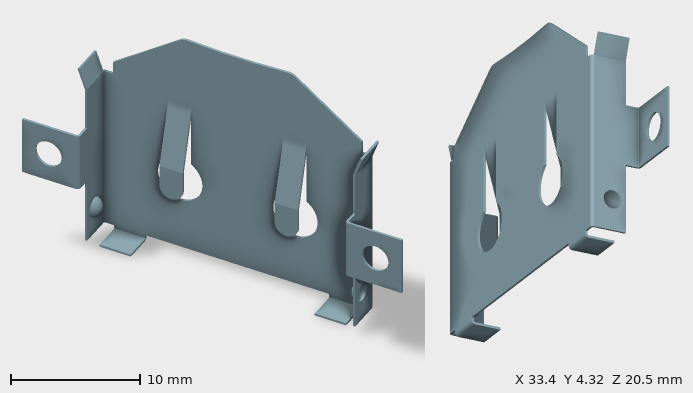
import cadquery as cq
import math

sheet = 0.2
bend_outer = 0.3
bend_inner = bend_outer - sheet

total_width = 33.4
total_depth = 4.32
total_height = 20.5

channel_half = 11.9
wall_inner_x = channel_half - sheet
wall_depth = 3.0
channel_bottom = 0.55
channel_top = 15.05

panel_half = 10.95
panel_shoulder_z = 16.12
panel_corner_x = 4.75
panel_corner_trim = 0.022
panel_corner_z = total_height + panel_corner_trim
panel_corner_radius = 1.0
panel_top_dip = 0.17

flare_angle = math.radians(20)
flare_length = 1.9
flare_start = bend_outer

tab_height = 5.05
tab_center_z = 8.8
tab_hole_x = 14.38
tab_hole_diameter = 2.3

foot_width = 2.75
foot_center_x = 9.47
foot_depth = 2.55

spring_x = 5.07
spring_width = 2.04
spring_root_z = 14.24
spring_knee_z = 8.75
spring_tip_z = 5.97
spring_tip_radius = 1.01
spring_reach = 1.6
spring_bend_radius = 2.2
relief_hole_z = 7.0
relief_hole_diameter = 4.0

dimple_radius = 0.85
dimple_hollow_radius = 0.77
dimple_y = -1.84
dimple_z = 3.13


def mirrored_pair(left):
    """Return a left-hand feature together with its right-hand copy."""
    return left.union(left.mirror("YZ"))


def angle_sheet(corner, leg_dir, normal, leg, flange, span):
    """Folded strip; the flange runs along normal x leg_dir, the span along normal."""
    profile = cq.Workplane(cq.Plane(origin=corner, xDir=leg_dir, normal=normal))
    middle = math.sqrt(0.5)
    outer_mid = bend_outer * (1 - middle)
    inner_mid = bend_outer - bend_inner * middle
    return (
        profile.moveTo(leg, 0)
        .lineTo(bend_outer, 0)
        .threePointArc((outer_mid, outer_mid), (0, bend_outer))
        .lineTo(0, flange)
        .lineTo(sheet, flange)
        .lineTo(sheet, bend_outer)
        .threePointArc((inner_mid, inner_mid), (bend_outer, sheet))
        .lineTo(leg, sheet)
        .close()
        .extrude(span)
    )


def back_plate():
    edge = channel_half - bend_outer
    plate = (
        cq.Workplane("XZ")
        .moveTo(-edge, channel_bottom)
        .lineTo(edge, channel_bottom)
        .lineTo(edge, channel_top)
        .lineTo(panel_half, channel_top)
        .lineTo(panel_half, panel_shoulder_z)
        .lineTo(panel_corner_x, panel_corner_z)
        .threePointArc((0, panel_corner_z - panel_top_dip), (-panel_corner_x, panel_corner_z))
        .lineTo(-panel_half, panel_shoulder_z)
        .lineTo(-panel_half, channel_top)
        .lineTo(-edge, channel_top)
        .close()
        .extrude(sheet)
    )
    corner_size = panel_corner_radius / 2
    for side in (-1, 1):
        corner = cq.selectors.BoxSelector(
            (side * panel_corner_x - corner_size, -total_depth, panel_corner_z - corner_size),
            (side * panel_corner_x + corner_size, total_depth, panel_corner_z + corner_size),
        )
        plate = plate.edges("|Y").edges(corner).fillet(panel_corner_radius)
    return plate


def side_wall():
    return angle_sheet(
        (-channel_half, 0, channel_top), (1, 0, 0), (0, 0, -1),
        channel_half - panel_half, wall_depth, channel_top - channel_bottom,
    )


def flare():
    along_x = -math.sin(flare_angle)
    along_z = math.cos(flare_angle)
    tip_x = -wall_inner_x + flare_length * along_x
    tip_z = channel_top + flare_length * along_z
    miter_drop = sheet * math.tan(flare_angle / 2)
    return (
        cq.Workplane("XZ", origin=(0, -flare_start, 0))
        .moveTo(-wall_inner_x, channel_top)
        .lineTo(tip_x, tip_z)
        .lineTo(tip_x - sheet * along_z, tip_z + sheet * along_x)
        .lineTo(-channel_half, channel_top - miter_drop)
        .close()
        .extrude(wall_depth - flare_start)
    )


def solder_tab():
    tab = angle_sheet(
        (-wall_inner_x, -total_depth, tab_center_z + tab_height / 2), (-1, 0, 0), (0, 0, -1),
        total_width / 2 - wall_inner_x, total_depth - bend_outer, tab_height,
    )
    hole = (
        cq.Workplane("XZ")
        .center(-tab_hole_x, tab_center_z)
        .circle(tab_hole_diameter / 2)
        .extrude(total_depth)
    )
    return tab.cut(hole)


def foot():
    return angle_sheet(
        (-foot_center_x + foot_width / 2, 0, 0), (0, -1, 0), (-1, 0, 0),
        foot_depth, channel_bottom, foot_width,
    )


def spring_opening():
    slot_height = spring_root_z - relief_hole_z
    slot = (
        cq.Workplane("XZ")
        .center(-spring_x, relief_hole_z + slot_height / 2)
        .rect(spring_width, slot_height)
        .extrude(sheet)
    )
    relief = (
        cq.Workplane("XZ")
        .center(-spring_x, relief_hole_z)
        .circle(relief_hole_diameter / 2)
        .extrude(sheet)
    )
    return slot.union(relief)


def spring():
    """Arm bent out of the plate, sloping to a knee and ending in a flat rounded tip."""
    knee_y = -(spring_reach - sheet)
    drop = spring_root_z - spring_knee_z
    center_to_knee = math.hypot(drop, spring_bend_radius + knee_y)
    knee_angle = math.atan2(drop, spring_bend_radius + knee_y)
    slope = knee_angle - math.acos(spring_bend_radius / center_to_knee)

    def on_bend(radius, angle):
        return (
            -spring_bend_radius + radius * math.cos(angle),
            spring_root_z - radius * math.sin(angle),
        )

    front_radius = spring_bend_radius - sheet
    knee_shift = sheet * math.tan(slope / 2)
    arm = (
        cq.Workplane("YZ", origin=(-spring_x - spring_width / 2, 0, 0))
        .moveTo(0, spring_root_z)
        .threePointArc(on_bend(spring_bend_radius, slope / 2), on_bend(spring_bend_radius, slope))
        .lineTo(knee_y, spring_knee_z)
        .lineTo(knee_y, spring_tip_z)
        .lineTo(knee_y - sheet, spring_tip_z)
        .lineTo(knee_y - sheet, spring_knee_z + knee_shift)
        .lineTo(*on_bend(front_radius, slope))
        .threePointArc(on_bend(front_radius, slope / 2), on_bend(front_radius, 0))
        .close()
        .extrude(spring_width)
    )
    tip_edges = cq.selectors.BoxSelector(
        (-spring_x - spring_width, -total_depth, spring_tip_z - sheet),
        (-spring_x + spring_width, 0, spring_tip_z + sheet),
    )
    rear_knee = (-spring_x, knee_y, spring_knee_z)
    arm = arm.edges(cq.selectors.NearestToPointSelector(rear_knee)).fillet(bend_inner)
    front_knee = (-spring_x, knee_y - sheet, spring_knee_z + knee_shift)
    arm = arm.edges(cq.selectors.NearestToPointSelector(front_knee)).fillet(bend_outer)
    return arm.edges("|Y").edges(tip_edges).fillet(spring_tip_radius)


def dimple_cap(radius, base_offset):
    """Part of a ball centred on the wall's outer face that lies inward of base_offset."""
    base_radius = math.sqrt(radius**2 - base_offset**2)
    mid_angle = math.atan2(base_radius, base_offset) / 2
    return (
        cq.Workplane("XY", origin=(-channel_half, dimple_y, dimple_z))
        .moveTo(base_offset, 0)
        .lineTo(base_offset, base_radius)
        .threePointArc((radius * math.cos(mid_angle), radius * math.sin(mid_angle)), (radius, 0))
        .close()
        .revolve(360, (0, 0), (1, 0))
    )


def dimpled_wall():
    bump = dimple_cap(dimple_radius, sheet / 2)
    hollow = dimple_cap(dimple_hollow_radius, 0)
    return side_wall().union(bump).cut(hollow)


left_side = dimpled_wall().union(flare()).union(solder_tab())

result = back_plate().cut(mirrored_pair(spring_opening()))
for feature in (left_side, foot(), spring()):
    result = result.union(mirrored_pair(feature))